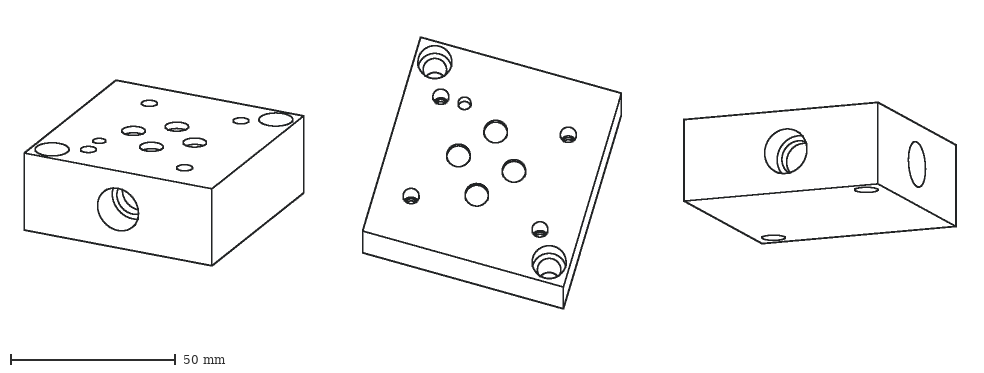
import cadquery as cq
import math

side = 63.5
height = 25.4
top = height / 2

drill_point_angle = 120.0

port_mouth_diameter = 13.85
port_mouth_depth = 10.15
port_drill_diameter = 10.7
port_drill_depth = 14.0

pattern_x = 0.8
pattern_y = -1.6
passage_diameter = 7.1
passage_depth = 2.1
passage_offset_x = 10.35
passage_offset_y = 8.75

screw_mouth_diameter = 4.8
screw_mouth_depth = 10.15
screw_drill_diameter = 3.8
screw_drill_depth = 12.7
screw_row_distance = 40.5
upper_row_y = 19.9
upper_row_spacing = 31.0
lower_row_y = upper_row_y - screw_row_distance
lower_row_spacing = 32.5

pin_diameter = 3.95
pin_depth = 5.1
pin_to_screw_distance = 7.5
pin_x = pattern_x - lower_row_spacing / 2
pin_y = lower_row_y + pin_to_screw_distance

mount_diameter = 7.1
mount_counterbore_diameter = 10.3
mount_counterbore_depth = 8.9
mount_edge_distance = 6.35
mount_offset = side / 2 - mount_edge_distance


def bore(diameter, depth):
    """Cylinder reaching down from the origin."""
    return cq.Workplane("XY").circle(diameter / 2).extrude(-depth)


def drilled_hole(diameter, depth):
    """Hole reaching down from the origin: full diameter to the depth, then a cone."""
    radius = diameter / 2
    tip_depth = depth + radius / math.tan(math.radians(drill_point_angle / 2))
    half_section = [(0, 0), (radius, 0), (radius, -depth), (0, -tip_depth)]
    return cq.Workplane("XZ").polyline(half_section).close().revolve(360, (0, 0), (0, 1))


def on_top(cutter, x, y):
    """Move a cutter from the origin to a point of the top face."""
    return cutter.translate((x, y, top))


block = cq.Workplane("XY").box(side, side, height)

port_drilling = drilled_hole(port_drill_diameter, port_drill_depth)
port = bore(port_mouth_diameter, port_mouth_depth).union(port_drilling)
front_port = port.rotate((0, 0, 0), (1, 0, 0), 90).translate((0, -side / 2, 0))
left_port = port.rotate((0, 0, 0), (0, 1, 0), -90).translate((-side / 2, pattern_y, 0))
block = block.cut(front_port).cut(left_port)

passage = drilled_hole(passage_diameter, passage_depth)
for sign in (1, -1):
    block = block.cut(on_top(passage, pattern_x + sign * passage_offset_x, pattern_y))
    block = block.cut(on_top(passage, pattern_x, pattern_y + sign * passage_offset_y))

screw_drilling = drilled_hole(screw_drill_diameter, screw_drill_depth)
screw_hole = bore(screw_mouth_diameter, screw_mouth_depth).union(screw_drilling)
for row_y, spacing in [(upper_row_y, upper_row_spacing), (lower_row_y, lower_row_spacing)]:
    for sign in (1, -1):
        block = block.cut(on_top(screw_hole, pattern_x + sign * spacing / 2, row_y))

block = block.cut(on_top(drilled_hole(pin_diameter, pin_depth), pin_x, pin_y))

counterbore = bore(mount_counterbore_diameter, mount_counterbore_depth)
mount_hole = bore(mount_diameter, height).union(counterbore)
for offset in (mount_offset, -mount_offset):
    block = block.cut(on_top(mount_hole, offset, offset))

result = block